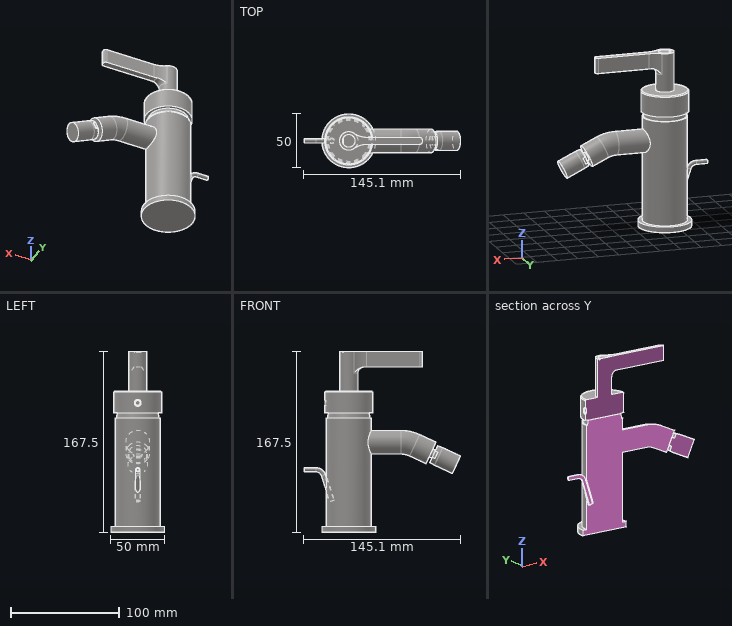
import cadquery as cq
import math

flange_radius = 25.0
flange_height = 5.5
column_radius = 21.0
column_top = 105.7
neck_base_radius = 20.0
neck_top_radius = 19.0
neck_top = 110.5

spout_radius = 11.0
spout_height = 83.5
spout_bend_start = 48.3
spout_bend_radius = 30.0
spout_slope = 25.0
spout_outlet_length = 16.8

aerator_radius = 9.0
aerator_collar_radius = 8.7
aerator_gap = 2.7
aerator_collar_end = 7.7
aerator_end = 26.0
aerator_neck_radius = 4.2
aerator_flat_length = 2.7
aerator_flat_width = 6.4

total_height = 167.5
cap_radius = 22.3
cap_top = 130.7
cap_chamfer = 1.0
stem_radius = 8.5
lever_reach = 68.0
lever_width = 6.5
lever_height = 14.7
lever_tip_radius = 2.3
lever_flare_radius = 20.1
lever_fillet_radius = 5.4
stem_recess_radius = 5.9
stem_recess_depth = 0.2
stem_notch_width = 0.8
stem_notch_depth = 1.0
screw_height = 119.8
screw_counterbore_radius = 3.2
screw_counterbore_depth = 0.5
screw_hole_radius = 2.2
screw_hole_depth = 1.0

rod_radius = 2.0
rod_tip_x = -41.5
rod_tip_chamfer = 0.7
rod_height = 58.0
rod_bend_start = -30.3
rod_bend_radius = 7.2
rod_slope = 72.0
rod_tail_length = 25.1
rod_hole_radius = 2.5


def sloped_path(start_x, height, bend_start, bend_radius, slope, tail_length):
    """Path in the XZ plane: level run toward +X, downward bend, straight tail."""
    angle = math.radians(slope)
    half = angle / 2
    mid = (bend_start + bend_radius * math.sin(half), height - bend_radius * (1 - math.cos(half)))
    bend_end = (bend_start + bend_radius * math.sin(angle), height - bend_radius * (1 - math.cos(angle)))
    tail_end = (bend_end[0] + tail_length * math.cos(angle), bend_end[1] - tail_length * math.sin(angle))
    path = (
        cq.Workplane("XZ")
        .moveTo(start_x, height)
        .lineTo(bend_start, height)
        .threePointArc(mid, bend_end)
        .lineTo(*tail_end)
    )
    return path, bend_end, tail_end


def sloped_plane(point, slope):
    """Plane at an XZ point whose normal runs down the slope and whose X direction is -Y."""
    angle = math.radians(slope)
    return cq.Plane(
        origin=(point[0], 0, point[1]),
        xDir=(0, -1, 0),
        normal=(math.cos(angle), 0, -math.sin(angle)),
    )


spout_path, _, spout_outlet = sloped_path(
    0, spout_height, spout_bend_start, spout_bend_radius, spout_slope, spout_outlet_length
)
rod_path, rod_bend_end, _ = sloped_path(
    rod_tip_x, rod_height, rod_bend_start, rod_bend_radius, rod_slope, rod_tail_length
)
outlet_plane = sloped_plane(spout_outlet, spout_slope)


def make_housing():
    turned = (
        cq.Workplane("XZ")
        .polyline([
            (0, 0),
            (flange_radius, 0),
            (flange_radius, flange_height),
            (column_radius, flange_height),
            (column_radius, column_top),
            (neck_base_radius, column_top),
            (neck_top_radius, neck_top),
            (0, neck_top),
        ])
        .close()
        .revolve(360, (0, 0), (0, 1))
    )
    spout = cq.Workplane("YZ").center(0, spout_height).circle(spout_radius).sweep(spout_path)
    rod_hole = (
        cq.Workplane(sloped_plane(rod_bend_end, rod_slope)).circle(rod_hole_radius).extrude(rod_tail_length)
    )
    return turned.union(spout).cut(rod_hole)


def make_aerator():
    neck = cq.Workplane(outlet_plane).circle(aerator_neck_radius).extrude(aerator_gap)
    collar = (
        cq.Workplane(outlet_plane)
        .workplane(offset=aerator_gap)
        .circle(aerator_collar_radius)
        .workplane(offset=aerator_collar_end - aerator_gap)
        .circle(aerator_radius)
        .loft()
    )
    barrel = (
        cq.Workplane(outlet_plane)
        .workplane(offset=aerator_collar_end)
        .circle(aerator_radius)
        .extrude(aerator_end - aerator_collar_end)
    )
    flat_distance = math.sqrt(aerator_collar_radius**2 - (aerator_flat_width / 2) ** 2)
    flat_cutter_depth = aerator_radius - flat_distance
    flats = (
        cq.Workplane(outlet_plane)
        .workplane(offset=aerator_gap)
        .pushPoints([(side * (flat_distance + flat_cutter_depth / 2), 0) for side in (-1, 1)])
        .rect(flat_cutter_depth, aerator_flat_width)
        .extrude(aerator_flat_length)
    )
    return neck.union(collar).union(barrel).cut(flats)


def make_lever():
    """Flat lever that flares into the stem and curves down to it along its underside."""
    half_width = lever_width / 2
    flare_y = half_width + lever_flare_radius
    flare_reach = stem_radius + lever_flare_radius
    flare_end_x = math.sqrt(flare_reach**2 - flare_y**2)
    touch_x = flare_end_x * stem_radius / flare_reach
    touch_y = flare_y * stem_radius / flare_reach
    touch_angle = math.atan2(touch_y - flare_y, touch_x - flare_end_x)
    mid_angle = (touch_angle - math.pi / 2) / 2
    mid_x = flare_end_x + lever_flare_radius * math.cos(mid_angle)
    mid_y = flare_y + lever_flare_radius * math.sin(mid_angle)
    underside = total_height - lever_height
    lever = (
        cq.Workplane("XY", origin=(0, 0, underside - lever_fillet_radius))
        .moveTo(0, -touch_y)
        .lineTo(touch_x, -touch_y)
        .threePointArc((mid_x, -mid_y), (flare_end_x, -half_width))
        .lineTo(lever_reach, -half_width)
        .lineTo(lever_reach, half_width)
        .lineTo(flare_end_x, half_width)
        .threePointArc((mid_x, mid_y), (touch_x, touch_y))
        .lineTo(0, touch_y)
        .close()
        .extrude(lever_height + lever_fillet_radius)
    )
    lever = lever.edges("|Z and >X").fillet(lever_tip_radius)
    fillet_foot = underside - lever_fillet_radius
    clearance = (
        cq.Workplane("XZ")
        .moveTo(stem_radius, fillet_foot)
        .radiusArc((stem_radius + lever_fillet_radius, underside), lever_fillet_radius)
        .lineTo(2 * lever_reach, underside)
        .lineTo(2 * lever_reach, fillet_foot)
        .close()
        .revolve(360, (0, 0), (0, 1))
    )
    return lever.cut(clearance)


def make_stem_recess():
    """Shallow round recess in the stem top, with a deeper crescent notch on its -X side."""
    stem_top = cq.Workplane("XY", origin=(0, 0, total_height))
    recess = stem_top.circle(stem_recess_radius).extrude(-stem_recess_depth)
    notch_block = (
        stem_top
        .center(stem_notch_width - 2 * stem_recess_radius, 0)
        .rect(2 * stem_recess_radius, 2 * stem_recess_radius)
        .extrude(-stem_notch_depth)
    )
    notch = stem_top.circle(stem_recess_radius).extrude(-stem_notch_depth).intersect(notch_block)
    return recess.union(notch)


def make_screw_seat():
    """Shallow stepped seat for a set screw, sunk into the -X side of the cap."""
    cap_side = cq.Workplane("YZ", origin=(-cap_radius, 0, screw_height))
    counterbore = cap_side.circle(screw_counterbore_radius).extrude(screw_counterbore_depth)
    hole = cap_side.circle(screw_hole_radius).extrude(screw_hole_depth)
    return counterbore.union(hole)


def make_handle():
    cap = (
        cq.Workplane("XY", origin=(0, 0, neck_top))
        .circle(cap_radius)
        .extrude(cap_top - neck_top)
        .faces(">Z")
        .chamfer(cap_chamfer)
    )
    stem = cq.Workplane("XY", origin=(0, 0, cap_top)).circle(stem_radius).extrude(total_height - cap_top)
    return cap.union(stem).union(make_lever()).cut(make_stem_recess()).cut(make_screw_seat())


def make_rod():
    rod = cq.Workplane("YZ", origin=(rod_tip_x, 0, rod_height)).circle(rod_radius).sweep(rod_path)
    return rod.faces("<X").chamfer(rod_tip_chamfer)


housing = make_housing()
aerator = make_aerator()
handle = make_handle()
rod = make_rod()

result = cq.Compound.makeCompound([housing.val(), aerator.val(), handle.val(), rod.val()])